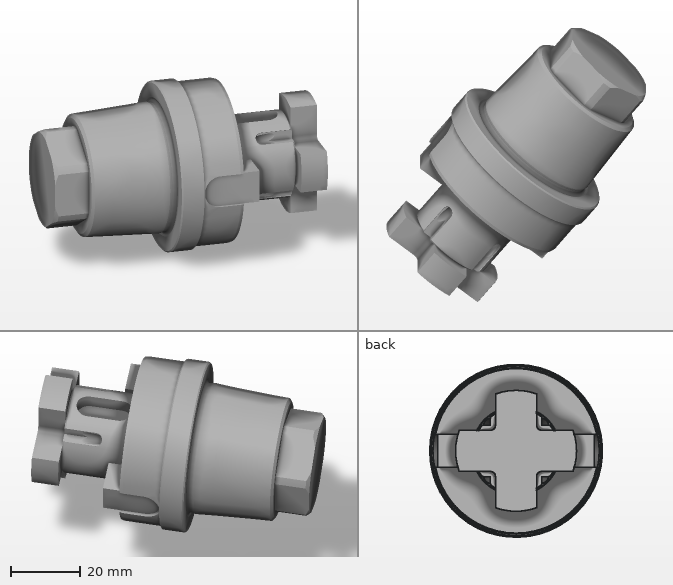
import cadquery as cq
import math


TOTAL_LENGTH = 81.0
HEX_LENGTH = 10.05
TAPER_END = 33.05
FLANGE_START = 35.0
FLANGE_END = 42.1
BODY_END = 54.0
DRIVER_THICKNESS = 7.9
DRIVER_START = TOTAL_LENGTH - DRIVER_THICKNESS

HEX_ACROSS_FLATS = 27.2
HEX_CORNER_RADIUS = 15.1
HEX_CHAMFER = 1.05

TAPER_SMALL_RADIUS = 18.0
TAPER_LARGE_RADIUS = 19.2
TAPER_NOSE_LENGTH = 0.7
TAPER_NOSE_DEPTH = 1.05

UNDERCUT_DEPTH = 0.25
UNDERCUT_RAMP_LENGTH = 0.7
UNDERCUT_CORNER = 0.8
UNDERCUT_OUTER_RADIUS = 20.3

FLANGE_RADIUS = 50.0 / 2
FLANGE_CHAMFER = 0.4
BODY_RADIUS = 24.05
BODY_LEAD_LENGTH = 1.0
BODY_LEAD_DEPTH = 0.25
NECK_RADIUS = 12.8
NECK_CHAMFER = 0.5

ARM_TIP_RADIUS = 17.5
ARM_WIDTH = 11.9
ARM_CORNER_FILLET = 1.5

KEY_WIDTH = 9.55
KEY_INNER_X = 13.45
KEY_OUTER_X = 22.7
KEY_PROJECTION = 4.95

POCKET_WIDTH = 7.05
POCKET_LENGTH = 16.3
POCKET_CENTER_Y = 62.6
POCKET_FLOOR_Z = 7.7

NOTCH_CORNER = ARM_WIDTH / 2 + ARM_CORNER_FILLET
NOTCH_WIDTH = 3.9
NOTCH_END_Y = 61.7
HOLE_DIAMETER = 3.2
HOLE_ANGLE = 20.0
HOLE_AXIS_Y = 32.3


def along_y(start):
    """Workplane normal to the axis at Y = start; local x is -X, local y is Z."""
    return cq.Workplane("XZ", origin=(0, start, 0)).transformed(rotate=(0, 180, 0))


def make_turned_body():
    floor_radius = TAPER_LARGE_RADIUS - UNDERCUT_DEPTH
    ramp_end = TAPER_END + UNDERCUT_RAMP_LENGTH
    corner_start = FLANGE_START + UNDERCUT_DEPTH - UNDERCUT_CORNER
    profile = (
        cq.Workplane("XY")
        .moveTo(0, HEX_LENGTH)
        .lineTo(TAPER_SMALL_RADIUS - TAPER_NOSE_DEPTH, HEX_LENGTH)
        .lineTo(TAPER_SMALL_RADIUS, HEX_LENGTH + TAPER_NOSE_LENGTH)
        .lineTo(TAPER_LARGE_RADIUS, TAPER_END)
        .lineTo(floor_radius, ramp_end)
        .lineTo(floor_radius, corner_start)
        .radiusArc((floor_radius + UNDERCUT_CORNER, FLANGE_START + UNDERCUT_DEPTH), UNDERCUT_CORNER)
        .lineTo(UNDERCUT_OUTER_RADIUS, FLANGE_START)
        .lineTo(FLANGE_RADIUS - FLANGE_CHAMFER, FLANGE_START)
        .lineTo(FLANGE_RADIUS, FLANGE_START + FLANGE_CHAMFER)
        .lineTo(FLANGE_RADIUS, FLANGE_END - FLANGE_CHAMFER)
        .lineTo(FLANGE_RADIUS - FLANGE_CHAMFER, FLANGE_END)
        .lineTo(BODY_RADIUS, FLANGE_END)
        .lineTo(BODY_RADIUS, BODY_END - BODY_LEAD_LENGTH)
        .lineTo(BODY_RADIUS - BODY_LEAD_DEPTH, BODY_END)
        .lineTo(NECK_RADIUS, BODY_END)
        .lineTo(NECK_RADIUS, DRIVER_START - NECK_CHAMFER)
        .lineTo(NECK_RADIUS - NECK_CHAMFER, DRIVER_START)
        .lineTo(0, DRIVER_START)
        .close()
    )
    return profile.revolve(360, (0, 0, 0), (0, 1, 0))


def make_hexagon():
    """Hexagon with flats facing +X and -X and corners rounded by a chamfered cylinder."""
    corner_diameter = HEX_ACROSS_FLATS / math.cos(math.pi / 6)
    prism = along_y(0).transformed(rotate=(0, 0, 30)).polygon(6, corner_diameter).extrude(HEX_LENGTH)
    envelope = along_y(0).circle(HEX_CORNER_RADIUS).extrude(HEX_LENGTH)
    envelope = envelope.faces("<Y").chamfer(HEX_CHAMFER)
    return prism.intersect(envelope)


def make_driver():
    """Cross of four arms with filleted inner corners and round tips."""
    span = 2 * ARM_TIP_RADIUS
    cross = along_y(DRIVER_START).rect(span, ARM_WIDTH).extrude(DRIVER_THICKNESS)
    cross = cross.union(along_y(DRIVER_START).rect(ARM_WIDTH, span).extrude(DRIVER_THICKNESS))
    inner_corners = cq.selectors.BoxSelector(
        (-ARM_WIDTH, 0, -ARM_WIDTH), (ARM_WIDTH, TOTAL_LENGTH, ARM_WIDTH)
    )
    cross = cross.edges("|Y").edges(inner_corners).fillet(ARM_CORNER_FILLET)
    return cross.intersect(along_y(DRIVER_START).circle(ARM_TIP_RADIUS).extrude(DRIVER_THICKNESS))


def make_key_outline(end_y):
    """Outline in the YZ plane with one round end that touches the flange."""
    round_center_y = FLANGE_END + KEY_WIDTH / 2
    return (
        cq.Workplane("YZ")
        .moveTo(end_y, -KEY_WIDTH / 2)
        .lineTo(end_y, KEY_WIDTH / 2)
        .lineTo(round_center_y, KEY_WIDTH / 2)
        .threePointArc((FLANGE_END, 0), (round_center_y, -KEY_WIDTH / 2))
        .close()
    )


def make_key():
    key = make_key_outline(BODY_END + KEY_PROJECTION).extrude(KEY_OUTER_X - KEY_INNER_X)
    return key.translate((KEY_INNER_X, 0, 0))


def make_key_seat():
    """Space above the key, which sits below the body surface."""
    seat = make_key_outline(BODY_END).extrude(BODY_RADIUS - KEY_OUTER_X)
    return seat.translate((KEY_OUTER_X, 0, 0))


def make_pocket():
    return (
        cq.Workplane("XY", origin=(0, POCKET_CENTER_Y, POCKET_FLOOR_Z))
        .slot2D(POCKET_LENGTH, POCKET_WIDTH, 90)
        .extrude(NECK_RADIUS - POCKET_FLOOR_Z)
    )


def make_notch():
    """Right-angled notch on the +Z side, its sides at 45 degrees and its blind end round."""
    apex_z = NOTCH_CORNER * math.sqrt(2)
    length = DRIVER_START - NOTCH_END_Y
    wedge_height = ARM_TIP_RADIUS - apex_z
    wedge = (
        along_y(NOTCH_END_Y)
        .moveTo(0, apex_z)
        .lineTo(wedge_height, ARM_TIP_RADIUS)
        .lineTo(-wedge_height, ARM_TIP_RADIUS)
        .close()
        .extrude(length)
    )
    envelope = (
        cq.Workplane("XY", origin=(0, NOTCH_END_Y + length, apex_z))
        .slot2D(2 * length, NOTCH_WIDTH, 90)
        .extrude(wedge_height)
    )
    return wedge.intersect(envelope)


def make_slanted_hole():
    """Hole from the axis out to the notch, leaning toward +Z."""
    axis = cq.Vector(0, math.cos(math.radians(HOLE_ANGLE)), math.sin(math.radians(HOLE_ANGLE)))
    length = NECK_RADIUS / math.sin(math.radians(HOLE_ANGLE)) + HOLE_DIAMETER
    start = cq.Vector(0, HOLE_AXIS_Y, 0)
    return cq.Workplane(cq.Solid.makeCylinder(HOLE_DIAMETER / 2, length, start, axis))


def about_axis(shape, angle):
    return shape.rotate((0, 0, 0), (0, 1, 0), angle)


result = make_turned_body().union(make_hexagon())
for side_angle in (0, 180):
    result = result.cut(about_axis(make_key_seat(), side_angle))
    result = result.union(about_axis(make_key(), side_angle))
result = result.cut(make_pocket())
for corner_angle in (45, 135, 225, 315):
    result = result.cut(about_axis(make_notch(), corner_angle))
    result = result.cut(about_axis(make_slanted_hole(), corner_angle))
result = result.union(make_driver())